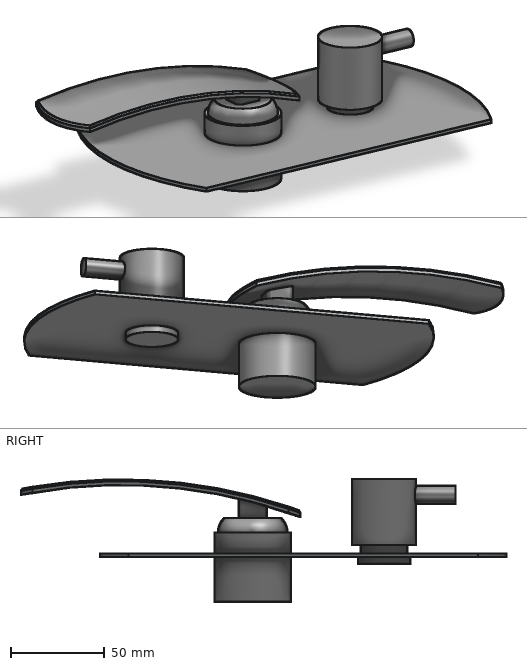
import cadquery as cq

overall_length = 260.8

plate_width = 120.0
plate_length = 218.5
plate_thickness = 2.0
plate_end_bulge = 15.6

lever_axis_y = -27.0
sleeve_radius = 20.5
sleeve_bottom = -24.0
sleeve_top = 13.3
cap_base_radius = 18.8
cap_shoulder_radius = 17.7
cap_top_radius = 15.0
cap_height = 7.8
cap_shoulder_height = 4.5
stem_width = 13.3
stem_depth = 15.0
stem_corner_radius = 2.5

lever_width = 50.0
lever_length = 150.0
lever_tip_y = plate_length / 2 - overall_length
lever_end_bulge = 6.3
lever_thickness = 3.0
lever_bend_radius = 282.5
lever_crest_y = -97.8
lever_crest_z = 41.7
lever_edge_chamfer = 1.0

diverter_y = 43.3
base_radius = 14.0
base_bottom = -3.7
neck_radius = 12.5
knob_radius = 17.2
knob_bottom = 6.5
knob_top = 42.0
bar_radius = 5.0
bar_z = 33.5
bar_tip_y = 81.6

cap_top = sleeve_top + cap_height
lever_centre_y = lever_tip_y + lever_length / 2
bend_axis_z = lever_crest_z - lever_bend_radius


def cylinder(y, radius, bottom, top):
    """Vertical cylinder on the plane of symmetry X = 0."""
    return cq.Workplane("XY", origin=(0, y, bottom)).circle(radius).extrude(top - bottom)


def bowed_strip(width, length, bulge, centre_y, height):
    """Straight-sided strip with outward arcs at both Y ends, standing on Z = 0."""
    half_width = width / 2
    tip = length / 2
    corner = tip - bulge
    return (
        cq.Workplane("XY", origin=(0, centre_y, 0))
        .moveTo(-half_width, -corner)
        .threePointArc((0, -tip), (half_width, -corner))
        .lineTo(half_width, corner)
        .threePointArc((0, tip), (-half_width, corner))
        .close()
        .extrude(height)
    )


def bend_cylinder(radius):
    """Cylinder about the lever's bend axis, wider than the lever."""
    return (
        cq.Workplane("YZ", origin=(0, lever_crest_y, bend_axis_z))
        .circle(radius)
        .extrude(lever_width, both=True)
    )


def make_plate():
    blank = bowed_strip(plate_width, plate_length, plate_end_bulge, 0, plate_thickness)
    sleeve_hole = cylinder(lever_axis_y, sleeve_radius, 0, plate_thickness)
    neck_hole = cylinder(diverter_y, neck_radius, 0, plate_thickness)
    return blank.cut(sleeve_hole).cut(neck_hole)


def make_sleeve():
    return cylinder(lever_axis_y, sleeve_radius, sleeve_bottom, sleeve_top)


def make_cap():
    shoulder = (cap_shoulder_radius, sleeve_top + cap_shoulder_height)
    return (
        cq.Workplane("XZ", origin=(0, lever_axis_y, 0))
        .moveTo(0, sleeve_top)
        .lineTo(cap_base_radius, sleeve_top)
        .threePointArc(shoulder, (cap_top_radius, cap_top))
        .lineTo(0, cap_top)
        .close()
        .revolve(360, (0, 0, 0), (0, 1, 0))
    )


def make_stem():
    return (
        cq.Workplane("XY", origin=(0, lever_axis_y, cap_top))
        .rect(stem_width, stem_depth)
        .extrude(lever_crest_z - cap_top)
        .edges("|Z")
        .fillet(stem_corner_radius)
        .intersect(bend_cylinder(lever_bend_radius - lever_thickness))
    )


def make_lever():
    outer = bend_cylinder(lever_bend_radius)
    inner = bend_cylinder(lever_bend_radius - lever_thickness)
    strip = bowed_strip(lever_width, lever_length, lever_end_bulge, lever_centre_y, lever_crest_z)
    bent = strip.intersect(outer.cut(inner))
    return bent.faces(">Z").edges().chamfer(lever_edge_chamfer)


def make_diverter_base():
    foot = cylinder(diverter_y, base_radius, base_bottom, 0)
    neck = cylinder(diverter_y, neck_radius, 0, knob_bottom)
    return foot.union(neck)


def make_knob():
    drum = cylinder(diverter_y, knob_radius, knob_bottom, knob_top)
    bar = (
        cq.Workplane("XZ", origin=(0, diverter_y, bar_z))
        .circle(bar_radius)
        .extrude(diverter_y - bar_tip_y)
    )
    return drum.union(bar)


plate = make_plate()
sleeve = make_sleeve()
cap = make_cap()
stem = make_stem()
lever = make_lever()
diverter_base = make_diverter_base()
knob = make_knob()

result = cq.Compound.makeCompound(
    [
        plate.val(),
        sleeve.val(),
        cap.val(),
        stem.val(),
        lever.val(),
        diverter_base.val(),
        knob.val(),
    ]
)